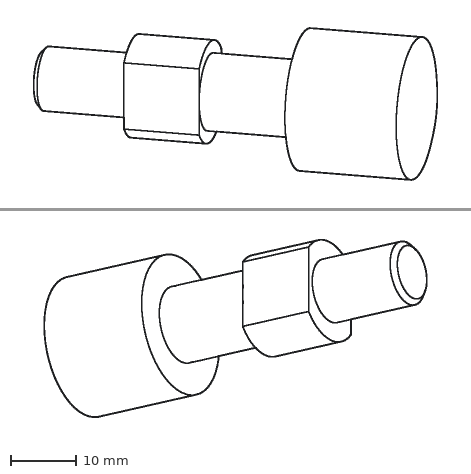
import cadquery as cq

total_length = 61.9
stud_length = 15.0
collar_length = 12.0
head_start = 42.15
dome_height = 2.0
dome_start = total_length - dome_height

stud_diameter = 10.0
tip_chamfer = 0.8
collar_diameter = 16.0
neck_diameter = 12.0
across_flats = neck_diameter
head_diameter = 22.0


def cylinder(start, end, diameter):
    """Round bar along X from start to end."""
    return cq.Workplane("YZ", origin=(start, 0, 0)).circle(diameter / 2).extrude(end - start)


def chamfered_stud():
    return cylinder(0, stud_length, stud_diameter).faces("<X").chamfer(tip_chamfer)


def flatted_collar():
    """Round collar with two flats facing -Y and +Y."""
    collar = cylinder(stud_length, stud_length + collar_length, collar_diameter)
    flats = cq.Workplane("YZ", origin=(stud_length, 0, 0)).rect(across_flats, collar_diameter)
    return collar.intersect(flats.extrude(collar_length))


def domed_head():
    """Revolved head whose end is a shallow spherical cap."""
    radius = head_diameter / 2
    sphere_radius = (radius**2 + dome_height**2) / (2 * dome_height)
    mid_radius = radius / 2
    mid_x = total_length - sphere_radius + (sphere_radius**2 - mid_radius**2) ** 0.5
    profile = (
        cq.Workplane("XY")
        .moveTo(head_start, 0)
        .lineTo(head_start, radius)
        .lineTo(dome_start, radius)
        .threePointArc((mid_x, mid_radius), (total_length, 0))
        .close()
    )
    return profile.revolve(360, (0, 0, 0), (1, 0, 0))


neck = cylinder(stud_length + collar_length, head_start, neck_diameter)
result = chamfered_stud().union(flatted_collar()).union(neck).union(domed_head())